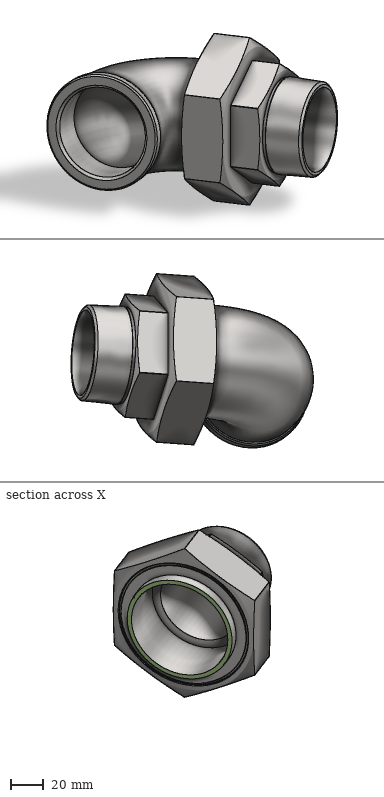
import cadquery as cq
import math


bend_radius = 42.5
elbow_radius = 34.5
cavity_radius = 31.4

socket_end = 34.0
socket_radius = 34.07
inlet_bore_radius = 28.3

inlet_end = 58.0
collar_radius = 36.5
collar_length = 7.0
collar_chamfer = 1.0
inlet_mouth_radius = 30.0
inlet_mouth_depth = 1.7

nut_start = 47.8
nut_end = 75.0
nut_across_flats = 92.0
nut_turned_diameter = 106.14

nut_opening_radius = 42.3
nut_opening_chamfer = 0.5
rim_radius = 41.0
rim_groove_depth = 1.0

hex_end = 94.2
hex_across_flats = 67.4
hex_turned_diameter = 77.6
tail_end = 119.4
neck_end = 96.2
neck_radius = 29.5
thread_radius = 30.0
thread_taper = 1 / 16
thread_chamfer = 1.5
tail_bore_radius = 26.0

corner_chamfer_angle = math.radians(15)


def along_x(points):
    """Revolve an (x, radius) outline about the outlet axis."""
    return cq.Workplane("XY").polyline(points).close().revolve(360, (0, 0, 0), (1, 0, 0))


def cylinder_x(start, end, radius):
    return cq.Workplane("YZ").workplane(offset=start).circle(radius).extrude(end - start)


def cylinder_y(start, end, radius):
    """Cylinder about the inlet axis between two distances below y = 0."""
    return cq.Workplane("XZ").workplane(offset=start).circle(radius).extrude(end - start)


def elbow_pipe(radius, outlet_x):
    """Round pipe following the inlet leg, the bend and the outlet leg."""
    bend_plane = cq.Workplane("XZ").workplane(offset=bend_radius)
    bend = bend_plane.circle(radius).revolve(90, (bend_radius, 0, 0), (bend_radius, -1, 0))
    inlet_leg = cylinder_y(bend_radius, inlet_end, radius)
    outlet_leg = cylinder_x(bend_radius, outlet_x, radius)
    return inlet_leg.union(bend).union(outlet_leg)


def inlet_collar():
    return (
        cq.Workplane("XZ")
        .workplane(offset=inlet_end - collar_length)
        .circle(collar_radius)
        .extrude(collar_length)
        .edges()
        .chamfer(collar_chamfer)
    )


def inlet_mouth():
    """Cone that widens the bore at the open end of the inlet."""
    return (
        cq.Workplane("XZ")
        .workplane(offset=inlet_end - inlet_mouth_depth)
        .circle(inlet_bore_radius)
        .workplane(offset=inlet_mouth_depth)
        .circle(inlet_mouth_radius)
        .loft()
    )


def hexagon(start, end, across_flats, turned_diameter, chamfer_start):
    """Hexagonal prism with one corner up, corners turned to a diameter and coned off at its ends."""
    flat_radius = across_flats / 2
    corner_radius = flat_radius / math.cos(math.pi / 6)
    turned_radius = turned_diameter / 2
    setback = (turned_radius - flat_radius) * math.tan(corner_chamfer_angle)
    prism = (
        cq.Workplane("YZ")
        .workplane(offset=start)
        .polygon(6, 2 * corner_radius)
        .extrude(end - start)
        .rotate((0, 0, 0), (1, 0, 0), 90)
    )
    if chamfer_start:
        start_outline = [(start, flat_radius), (start + setback, turned_radius)]
    else:
        start_outline = [(start, turned_radius)]
    end_outline = [(end - setback, turned_radius), (end, flat_radius)]
    envelope = along_x([(start, 0)] + start_outline + end_outline + [(end, 0)])
    return prism.intersect(envelope)


def rim_groove():
    """Narrow gap between the nut's opening and the elbow rim inside it."""
    return along_x(
        [
            (nut_start, rim_radius),
            (nut_start, nut_opening_radius + nut_opening_chamfer),
            (nut_start + nut_opening_chamfer, nut_opening_radius),
            (nut_start + rim_groove_depth, nut_opening_radius),
            (nut_start + rim_groove_depth, rim_radius),
        ]
    )


def threaded_tail():
    end_radius = thread_radius - (tail_end - neck_end) * thread_taper / 2
    chamfer_x = tail_end - thread_chamfer
    return along_x(
        [
            (hex_end, 0),
            (hex_end, neck_radius),
            (neck_end, neck_radius),
            (neck_end, thread_radius),
            (chamfer_x, end_radius),
            (tail_end, end_radius - thread_chamfer),
            (tail_end, 0),
        ]
    )


body = elbow_pipe(elbow_radius, nut_start).union(inlet_collar())
nut = hexagon(nut_start, nut_end, nut_across_flats, nut_turned_diameter, True).cut(rim_groove())
tail = hexagon(nut_end, hex_end, hex_across_flats, hex_turned_diameter, False).union(threaded_tail())
cavity = elbow_pipe(cavity_radius, nut_end)
socket = cylinder_y(socket_end, inlet_end, socket_radius)
bores = cylinder_y(socket_end, inlet_end, inlet_bore_radius)
bores = bores.union(inlet_mouth()).union(cylinder_x(nut_end, tail_end, tail_bore_radius))

result = body.union(nut).union(tail).cut(cavity).union(socket).cut(bores)